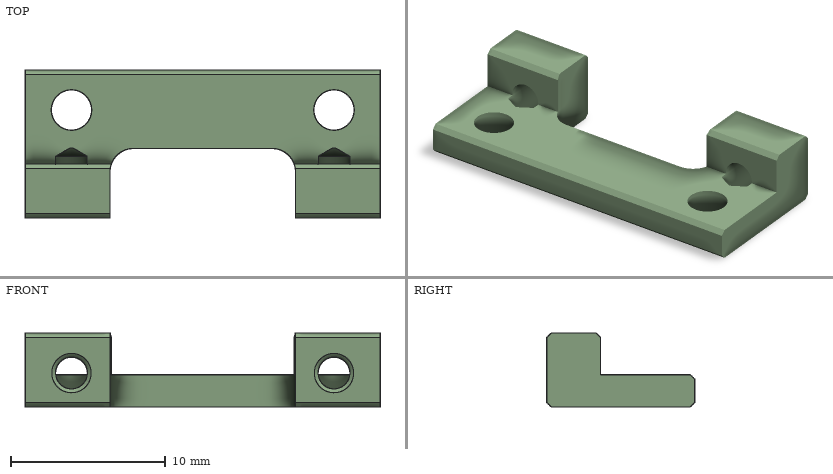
import cadquery as cq
import math

LENGTH = 23.0
DEPTH = 9.6
HEIGHT = 4.8
PLATE_THICKNESS = 2.1
EDGE_CHAMFER = 0.3

LUG_WIDTH = 5.5
LUG_DEPTH = 3.5
RECESS_DEPTH = 4.5
RECESS_RADIUS = 1.5

HOLE_SPACING = 17.0
MOUNT_HOLE_DIAMETER = 2.6
MOUNT_HOLE_Y = 7.0
SCREW_HOLE_DIAMETER = 2.05
SCREW_HOLE_Z = 2.2
SCREW_HOLE_DEPTH = 4.0
DRILL_POINT_ANGLE = 118.0
COUNTERSINK_DIAMETER = 2.55


def make_body():
    """L-shaped side profile with chamfered corners, extruded along X."""
    c = EDGE_CHAMFER
    profile = [
        (c, 0),
        (DEPTH - c, 0),
        (DEPTH, c),
        (DEPTH, PLATE_THICKNESS - c),
        (DEPTH - c, PLATE_THICKNESS),
        (LUG_DEPTH, PLATE_THICKNESS),
        (LUG_DEPTH, HEIGHT - c),
        (LUG_DEPTH - c, HEIGHT),
        (c, HEIGHT),
        (0, HEIGHT - c),
        (0, c),
    ]
    return cq.Workplane("YZ").polyline(profile).close().extrude(LENGTH / 2, both=True)


def make_recess():
    """Cutter for the front recess, with its two back corners rounded."""
    width = LENGTH - 2 * LUG_WIDTH
    return (
        cq.Workplane("XY")
        .rect(width, 2 * RECESS_DEPTH)
        .extrude(HEIGHT)
        .edges("|Z and >Y")
        .fillet(RECESS_RADIUS)
    )


def make_mount_hole(x):
    """Vertical through hole in the plate."""
    return cq.Workplane("XY").center(x, MOUNT_HOLE_Y).circle(MOUNT_HOLE_DIAMETER / 2).extrude(HEIGHT)


def make_screw_hole(x):
    """Blind hole from the front face with a 45 degree countersink and a drill point."""
    radius = SCREW_HOLE_DIAMETER / 2
    sink_radius = COUNTERSINK_DIAMETER / 2
    sink_depth = sink_radius - radius
    point_length = radius / math.tan(math.radians(DRILL_POINT_ANGLE / 2))
    half_section = [
        (0, 0),
        (sink_radius, 0),
        (radius, sink_depth),
        (radius, SCREW_HOLE_DEPTH),
        (0, SCREW_HOLE_DEPTH + point_length),
    ]
    return (
        cq.Workplane("XY")
        .polyline(half_section)
        .close()
        .revolve(360, (0, 0), (0, 1))
        .translate((x, 0, SCREW_HOLE_Z))
    )


result = make_body().cut(make_recess())
for hole_x in (-HOLE_SPACING / 2, HOLE_SPACING / 2):
    result = result.cut(make_mount_hole(hole_x)).cut(make_screw_hole(hole_x))